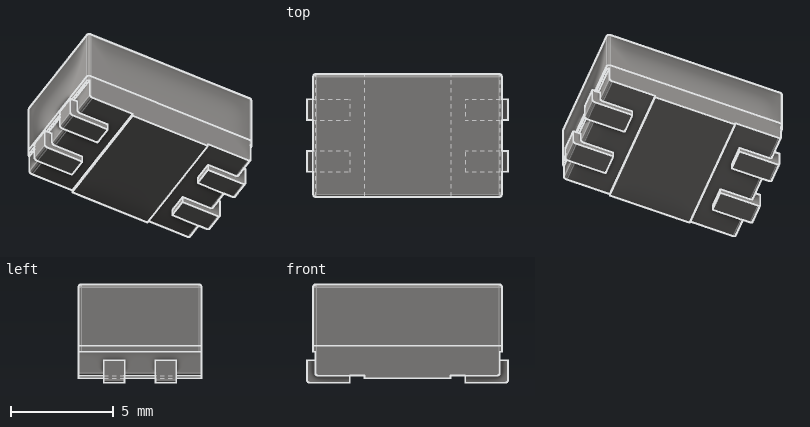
import cadquery as cq

overall_length = 9.8
body_length = 9.2
body_width = 6.0
top_z = 4.8
edge_radius = 0.15

split_z = 1.8
step_z = 1.5
step_inset = 0.1
foot_bottom_z = 0.35
foot_length = body_length - 2 * step_inset
pad_length = 4.2
pad_bottom_z = 0.22

terminal_width = 1.03
terminal_pitch = 2.52
terminal_top_z = 1.1
terminal_reach = 2.1


def block(length, width, bottom_z, upper_z):
    """Box centred on the Z axis, running from bottom_z up to upper_z."""
    return cq.Workplane("XY").workplane(offset=bottom_z).rect(length, width).extrude(upper_z - bottom_z)


def make_cap():
    """Upper block with rounded vertical and top edges."""
    return block(body_length, body_width, split_z, top_z).edges("|Z or >Z").fillet(edge_radius)


def make_foot():
    """Lower block of the base, with its bottom end edges rounded."""
    foot = block(foot_length, body_width, foot_bottom_z, split_z)
    return foot.edges("|Y and <Z").fillet(edge_radius)


def make_base():
    """Collar, foot and central underside pad, sharing the cap's rounded corners."""
    collar = block(body_length, body_width, step_z, split_z)
    pad = block(pad_length, body_width, pad_bottom_z, split_z)
    outline = block(body_length, body_width, pad_bottom_z, split_z).edges("|Z").fillet(edge_radius)
    return collar.union(make_foot()).union(pad).intersect(outline)


def make_terminal(end, side):
    """L-shaped terminal; end and side are +1 or -1 along X and Y."""
    outer_x = overall_length / 2
    inner_x = outer_x - terminal_reach
    strip = (
        cq.Workplane("XY")
        .box(terminal_reach, terminal_width, terminal_top_z)
        .edges(">X and <Z")
        .fillet(edge_radius)
        .translate(((outer_x + inner_x) / 2, side * terminal_pitch / 2, terminal_top_z / 2))
        .cut(make_foot())
    )
    return strip if end > 0 else strip.mirror("YZ")


cap = make_cap()
base = make_base()
terminals = [make_terminal(end, side) for end in (-1, 1) for side in (-1, 1)]

bodies = [cap, base, *terminals]
result = cq.Compound.makeCompound([body.solids().val() for body in bodies])